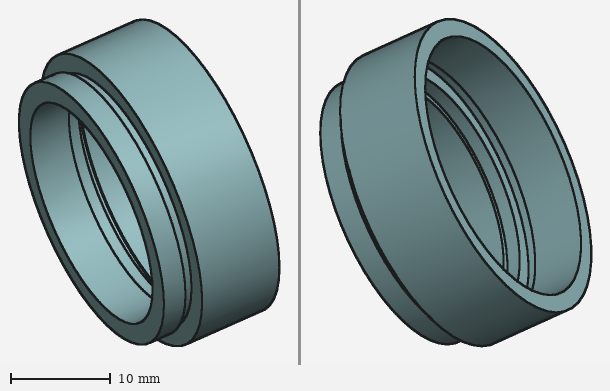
import cadquery as cq

body_diameter = 31.75
collar_diameter = 28.5
neck_diameter = 27.55
mouth_diameter = 24.0
middle_bore_diameter = 25.35
relief_diameter = 28.5
rear_bore_diameter = 28.0

total_length = 12.5
collar_length = 2.5
neck_length = 1.0
mouth_length = 4.5
middle_bore_length = 1.5
relief_length = 1.0

body_start = collar_length + neck_length
rear_bore_start = mouth_length + middle_bore_length


def cylinder(diameter, start, end):
    """Solid cylinder on the Y axis between two Y positions."""
    plane = cq.Workplane("XZ", origin=(0, start, 0))
    return plane.circle(diameter / 2).extrude(start - end)


collar = cylinder(collar_diameter, 0, collar_length)
neck = cylinder(neck_diameter, collar_length, body_start)
body = cylinder(body_diameter, body_start, total_length)

mouth = cylinder(mouth_diameter, 0, total_length)
middle_bore = cylinder(middle_bore_diameter, mouth_length, rear_bore_start)
relief = cylinder(relief_diameter, rear_bore_start, rear_bore_start + relief_length)
rear_bore = cylinder(rear_bore_diameter, rear_bore_start, total_length)

ring = collar.union(neck).union(body).cut(mouth).cut(middle_bore).cut(relief).cut(rear_bore)
result = ring.translate((0, -total_length / 2, 0))